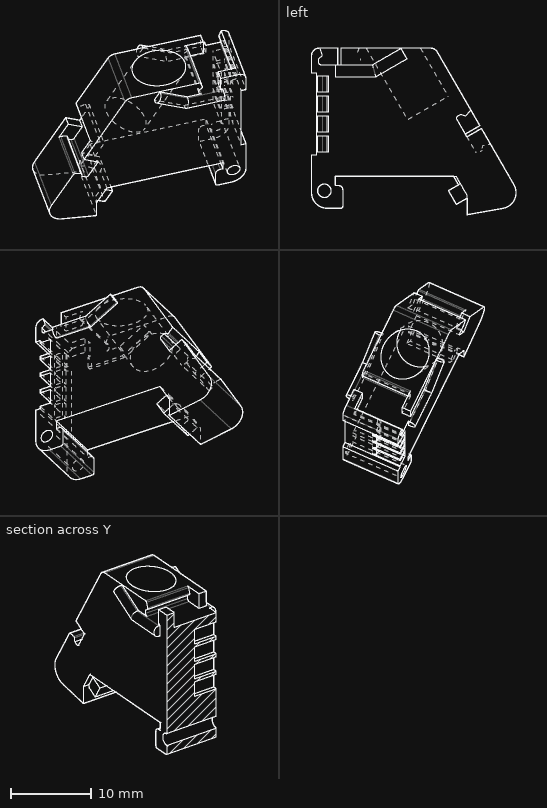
import cadquery as cq
import math


WIDTH = 7.6
HEIGHT = 20.8
SLANT = 30.0
TOP_LENGTH = 15.42
TOP_CORNER_R = 1.0
UNDERSIDE_Z = 4.8
TOE_R = 2.0
TOE_RISE = 10.0
FRONT_FOOT_D = 19.4
FRONT_FOOT_KNEE_Z = 2.45

REAR_FOOT_Z = 0.8
REAR_HEEL_R = 2.0
REAR_FOOT_NECK_D = 3.0
REAR_FOOT_TIP_D = 3.95
REAR_FOOT_LIP_Z = 3.67
LIP_TOP_R = 0.6
LIP_BOTTOM_R = 0.3
PIVOT_D = 1.62
PIVOT_Z = 3.0
PIVOT_DIA = 1.65

POCKET_COUNT = 4
POCKET_HEIGHT = 2.0
FIN_THICKNESS = 0.5
POCKET_PITCH = POCKET_HEIGHT + FIN_THICKNESS
COMB_CENTRE_Z = 12.56
RECESS_DEPTH = 0.63
RECESS_HEIGHT = 10.2
POCKET_D = 2.12
RIB_BASE_X = 0.0
RIB_RISE = 0.5
RIB_TAPER = 0.15
RIB_RIDGE = 0.03

SLOT_DEPTH = 2.1
SLOT_GAP = 0.38
SLOT_EDGE = 2.45
SLOT_NOSE = 2.12
SLOT_NOSE_DEPTH = 0.95
SLOT_UNDERCUT = 2.61
SLOT_UNDERCUT_DEPTH = 1.35
NOSE_R = 0.15
UNDERCUT_R = 0.3
LEAD_IN_R = 0.2
KEEPER_X = 2.65
TOP_SLOT_D = 3.5
FRONT_SLOT_DISTANCE = 11.38

BAR_SPAN = 9.5
BAR_DIA = 1.5
BAR_START_D = 3.02
BAR_BEND_D = 7.83
BAR_Z = HEIGHT - SLOT_DEPTH - BAR_DIA / 2
BAR_LENGTH = 4.28
BAR_RISE = 30.0

WELL_DIA = 5.85
WELL_D = 10.21
WELL_DEPTH = 8.64
SHANK_DIA = 3.0
NUT_SIZE = 5.9
NUT_THICKNESS = 2.0
NUT_DISTANCE = 18.83

SIN = math.sin(math.radians(SLANT))
COS = math.cos(math.radians(SLANT))
TAN = SIN / COS


def prism(points, x_min, x_max):
    """Extrude a (d, z) polygon between two X positions."""
    outline = [(-d, z) for d, z in points]
    return cq.Workplane("YZ", origin=(x_min, 0, 0)).polyline(outline).close().extrude(x_max - x_min)


def fillet_at(solid, point, radius):
    """Round the X-running edge that passes closest to a (d, z) point."""
    d, z = point
    return solid.edges("|X").edges(cq.selectors.NearestToPointSelector((0, -d, z))).fillet(radius)


def slant_d(z):
    """Distance of the sharp-cornered front face from the back at height z."""
    return TOP_LENGTH + (HEIGHT - z) * TAN


def make_body():
    """Side outline with its rounded corners and the pivot hole in the rear foot."""
    half = WIDTH / 2
    rise = math.tan(math.radians(TOE_RISE))
    toe_z = (slant_d(0) - FRONT_FOOT_D) * rise / (1 + rise * TAN)
    toe = (slant_d(toe_z), toe_z)
    knee = (FRONT_FOOT_D, FRONT_FOOT_KNEE_Z)
    underside_front = (FRONT_FOOT_D - (UNDERSIDE_Z - FRONT_FOOT_KNEE_Z) * TAN, UNDERSIDE_Z)
    top_back = (0, HEIGHT)
    top_front = (TOP_LENGTH, HEIGHT)
    heel = (0, REAR_FOOT_Z)
    tip_low = (REAR_FOOT_TIP_D, REAR_FOOT_Z)
    tip_high = (REAR_FOOT_TIP_D, REAR_FOOT_LIP_Z)
    neck_low = (REAR_FOOT_NECK_D, REAR_FOOT_LIP_Z)
    neck_high = (REAR_FOOT_NECK_D, UNDERSIDE_Z)
    front_heel = (FRONT_FOOT_D, 0)
    outline = [top_back, top_front, toe, front_heel, knee, underside_front,
               neck_high, neck_low, tip_high, tip_low, heel]
    body = prism(outline, -half, half)
    rounded = [(top_back, TOP_CORNER_R), (top_front, TOP_CORNER_R), (toe, TOE_R),
               (tip_high, LIP_TOP_R), (tip_low, LIP_BOTTOM_R), (heel, REAR_HEEL_R)]
    for corner, radius in rounded:
        body = fillet_at(body, corner, radius)
    pivot = cq.Workplane("YZ", origin=(-half, -PIVOT_D, PIVOT_Z)).circle(PIVOT_DIA / 2).extrude(WIDTH)
    return body.cut(pivot)


def slot_half(centre, along, inward, side):
    """Cutter for one end of a marker slot; side -1 is the rear end, +1 the front end."""
    def at(distance, depth):
        s = side * distance
        return (centre[0] + s * along[0] + depth * inward[0],
                centre[1] + s * along[1] + depth * inward[1])

    edge = at(SLOT_EDGE, 0)
    nose = at(SLOT_NOSE, SLOT_NOSE_DEPTH)
    undercut = at(SLOT_UNDERCUT, SLOT_UNDERCUT_DEPTH)
    floor_end = at(SLOT_UNDERCUT, SLOT_DEPTH)
    outline = [at(-SLOT_GAP / 2, 0), edge, nose, undercut, floor_end, at(-SLOT_GAP / 2, SLOT_DEPTH)]
    keeper_end = -side * KEEPER_X
    open_end = side * WIDTH / 2
    cutter = prism(outline, min(keeper_end, open_end), max(keeper_end, open_end))
    cutter = fillet_at(cutter, nose, NOSE_R)
    return fillet_at(cutter, floor_end, UNDERCUT_R)


def cut_slot(body, centre, along, inward):
    """Cut a slot with a keeper at each end and ease the lead-in edge at its front end."""
    for side in (-1, 1):
        body = body.cut(slot_half(centre, along, inward, side))
    front_edge = (centre[0] + SLOT_EDGE * along[0], centre[1] + SLOT_EDGE * along[1])
    return fillet_at(body, front_edge, LEAD_IN_R)


def cut_comb(body):
    """Recess the back face and cut ribbed pockets, open to the back and to -X."""
    half = WIDTH / 2
    base = COMB_CENTRE_Z - RECESS_HEIGHT / 2
    recess = cq.Workplane("XY").box(WIDTH, RECESS_DEPTH, RECESS_HEIGHT, centered=(True, False, False))
    body = body.cut(recess.translate((0, -RECESS_DEPTH, base)))
    rib_rear_x = RIB_BASE_X - RIB_RISE
    rib_front_x = rib_rear_x - RIB_RIDGE
    rib_middle_d = (POCKET_D + RECESS_DEPTH) / 2
    pocket = [(-half, 0), (-half, -POCKET_D), (RIB_BASE_X, -POCKET_D),
              (rib_front_x, -POCKET_D + RIB_TAPER), (rib_front_x, -rib_middle_d),
              (rib_rear_x, -RECESS_DEPTH - RIB_TAPER), (RIB_BASE_X, -RECESS_DEPTH), (RIB_BASE_X, 0)]
    lowest = COMB_CENTRE_Z - (POCKET_COUNT * POCKET_PITCH - FIN_THICKNESS) / 2
    for i in range(POCKET_COUNT):
        plane = cq.Workplane("XY", origin=(0, 0, lowest + i * POCKET_PITCH))
        body = body.cut(plane.polyline(pocket).close().extrude(POCKET_HEIGHT))
    return body


def make_bars():
    """One bent bar across the body whose rounded ends stand out on both sides."""
    rise = math.radians(BAR_RISE)
    end_y = -BAR_BEND_D - BAR_LENGTH * math.cos(rise)
    end_z = BAR_Z + BAR_LENGTH * math.sin(rise)
    path = cq.Workplane("YZ").moveTo(-BAR_START_D, BAR_Z).lineTo(-BAR_BEND_D, BAR_Z).lineTo(end_y, end_z)
    section = cq.Workplane("XZ", origin=(0, -BAR_START_D, BAR_Z)).slot2D(BAR_SPAN, BAR_DIA)
    return section.sweep(path, transition="right")


def axis_plane(distance):
    """Workplane square to the screw axis, facing down it, at a distance from the top face."""
    origin = (0, -WELL_D - distance * SIN, HEIGHT - distance * COS)
    return cq.Workplane(cq.Plane(origin=origin, xDir=(1, 0, 0), normal=(0, -SIN, -COS)))


def make_well():
    """Round well along the screw axis; its cutter starts clear above the top face."""
    return axis_plane(-WELL_DIA).circle(WELL_DIA / 2).extrude(WELL_DIA + WELL_DEPTH)


def make_screw():
    """Screw shank below the well, with a square nut at its lower end."""
    shank = axis_plane(WELL_DEPTH).circle(SHANK_DIA / 2).extrude(NUT_DISTANCE - WELL_DEPTH)
    nut = axis_plane(NUT_DISTANCE).rect(NUT_SIZE, NUT_SIZE).extrude(NUT_THICKNESS)
    return shank.union(nut)


body = make_body()
body = cut_comb(body)
front_slot = (TOP_LENGTH + FRONT_SLOT_DISTANCE * SIN, HEIGHT - FRONT_SLOT_DISTANCE * COS)
body = cut_slot(body, (TOP_SLOT_D, HEIGHT), (1, 0), (0, -1))
body = cut_slot(body, front_slot, (SIN, -COS), (-COS, -SIN))
body = body.union(make_bars())
body = body.union(make_screw())
result = body.cut(make_well())